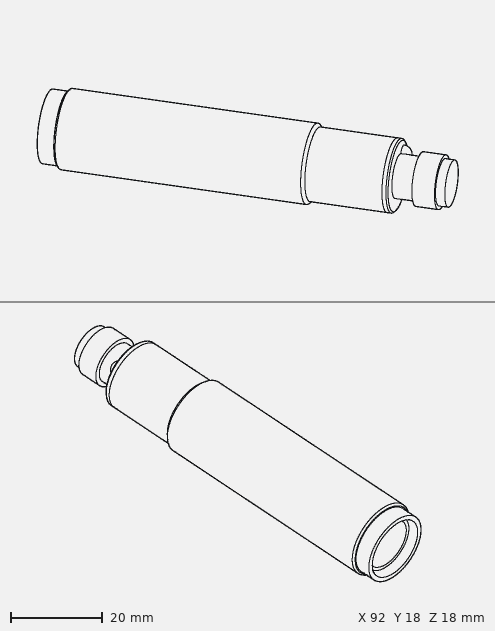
import cadquery as cq
import math

LENGTH = 92.0

BEZEL_RADIUS = 8.3
BEZEL_LENGTH = 3.9
BEZEL_MOUTH_RADIUS = 7.2
LENS_RADIUS = 6.7

LENS_RIM_X = 2.2
DOME_RADIUS = 5.9
DOME_HEIGHT = 1.5

BARREL_RADIUS = 9.0
BARREL_END_X = 61.0
FRONT_CHAMFER = 0.5
SLEEVE_RADIUS = 8.3
REAR_CHAMFER = BARREL_RADIUS - SLEEVE_RADIUS
SLEEVE_END_X = 78.6

CAP_LENGTH = 1.3
CAP_CHAMFER = 0.4
CAP_END_X = SLEEVE_END_X + CAP_LENGTH

NECK_RADIUS = 5.0
COLLAR_RADIUS = 6.1
COLLAR_START_X = 84.7
COLLAR_LENGTH = 5.15
TAIL_RADIUS = 5.2

LAMP_RADIUS = 2.0
LAMP_OFFSET = 5.1
LAMP_ANGLE = 45.0


def cylinder(start_x, end_x, radius):
    """Solid cylinder on the X axis between two stations."""
    return cq.Workplane("YZ", origin=(start_x, 0, 0)).circle(radius).extrude(end_x - start_x)


def turn(profile):
    """Revolve a closed half-profile, drawn in the XY plane, about the X axis."""
    return profile.close().revolve(360, (0, 0, 0), (1, 0, 0))


def make_bezel():
    return turn(
        cq.Workplane("XY")
        .moveTo(0, BEZEL_MOUTH_RADIUS)
        .lineTo(0, BEZEL_RADIUS)
        .lineTo(BEZEL_LENGTH, BEZEL_RADIUS)
        .lineTo(BEZEL_LENGTH, LENS_RADIUS)
        .lineTo(LENS_RIM_X, LENS_RADIUS)
    )


def make_lens():
    sphere_radius = (DOME_RADIUS**2 + DOME_HEIGHT**2) / (2 * DOME_HEIGHT)
    apex_x = LENS_RIM_X - DOME_HEIGHT
    half_angle = math.asin(DOME_RADIUS / sphere_radius) / 2
    arc_middle = (
        apex_x + sphere_radius * (1 - math.cos(half_angle)),
        sphere_radius * math.sin(half_angle),
    )
    return turn(
        cq.Workplane("XY")
        .moveTo(apex_x, 0)
        .threePointArc(arc_middle, (LENS_RIM_X, DOME_RADIUS))
        .lineTo(LENS_RIM_X, LENS_RADIUS)
        .lineTo(BEZEL_LENGTH, LENS_RADIUS)
        .lineTo(BEZEL_LENGTH, 0)
    )


def make_housing():
    barrel = cylinder(BEZEL_LENGTH, BARREL_END_X, BARREL_RADIUS)
    barrel = barrel.faces("<X").chamfer(FRONT_CHAMFER)
    barrel = barrel.faces(">X").chamfer(REAR_CHAMFER)
    return barrel.union(cylinder(BARREL_END_X, SLEEVE_END_X, SLEEVE_RADIUS))


def make_end_cap():
    cap = cylinder(SLEEVE_END_X, CAP_END_X, SLEEVE_RADIUS)
    return cap.faces(">X").chamfer(CAP_CHAMFER)


def make_lamp():
    angle = math.radians(LAMP_ANGLE)
    center = (CAP_END_X, LAMP_OFFSET * math.cos(angle), LAMP_OFFSET * math.sin(angle))
    ball = cq.Workplane("XY").sphere(LAMP_RADIUS).translate(center)
    return ball.intersect(cylinder(CAP_END_X, LENGTH, BARREL_RADIUS))


def make_connector(lamp):
    """Stepped plug, its neck recessed to clear the lamp."""
    collar_end_x = COLLAR_START_X + COLLAR_LENGTH
    neck = cylinder(CAP_END_X, COLLAR_START_X, NECK_RADIUS).cut(lamp)
    collar = cylinder(COLLAR_START_X, collar_end_x, COLLAR_RADIUS)
    tail = cylinder(collar_end_x, LENGTH, TAIL_RADIUS)
    return neck.union(collar).union(tail)


bezel = make_bezel()
lens = make_lens()
housing = make_housing()
end_cap = make_end_cap()
lamp = make_lamp()
connector = make_connector(lamp)

result = cq.Compound.makeCompound(
    [bezel.val(), lens.val(), housing.val(), end_cap.val(), lamp.val(), connector.val()]
)